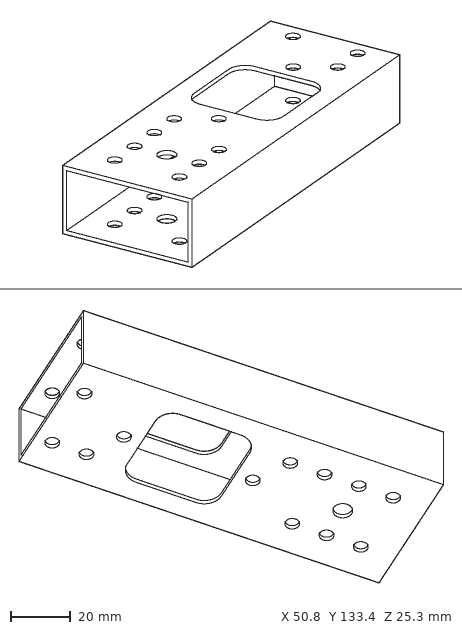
import cadquery as cq

length = 133.4
width = 50.8
height = 25.3
wall = 1.6

pitch = length / 10.5
column_x = pitch
small_hole_diameter = 5.0
large_hole_diameter = 6.7
left_rows = (0, 6, 7, 8, 9)
right_rows = (0, 1, 7, 8, 9)
large_hole_row = 8

window_row = 3.5
window_size = 35.0
window_corner_radius = 6.4
window_hole_offset = 23.9


def row_y(row):
    """Y position of a grid row."""
    return length / 2 - (row + 0.5) * pitch


def drill(points, diameter):
    """Vertical cylinders that pass through both wide walls."""
    return cq.Workplane("XY").pushPoints(points).circle(diameter / 2).extrude(height / 2, both=True)


def make_tube():
    outer = cq.Workplane("XY").box(width, length, height)
    bore = cq.Workplane("XY").box(width - 2 * wall, length, height - 2 * wall)
    return outer.cut(bore)


def make_window():
    window = cq.Workplane("XY").box(window_size, window_size, height)
    return window.edges("|Z").fillet(window_corner_radius).translate((0, row_y(window_row), 0))


left_holes = [(-column_x, row_y(row)) for row in left_rows]
right_holes = [(column_x, row_y(row)) for row in right_rows]
window_holes = [(0, row_y(window_row) + side * window_hole_offset) for side in (-1, 1)]

result = (
    make_tube()
    .cut(make_window())
    .cut(drill(left_holes + right_holes + window_holes, small_hole_diameter))
    .cut(drill([(0, row_y(large_hole_row))], large_hole_diameter))
)